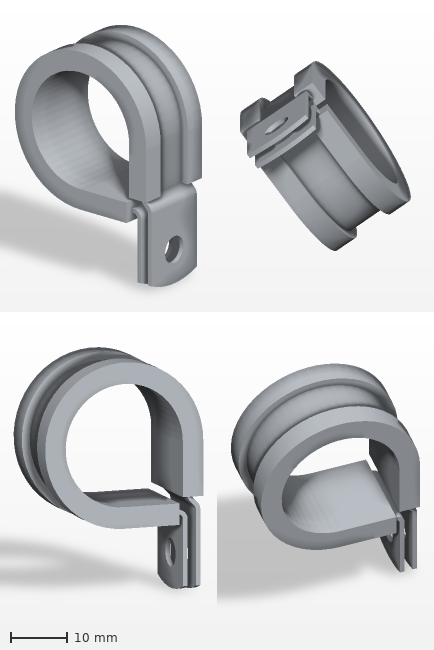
import cadquery as cq
import math


outer_radius = 15.0
cushion_thickness = 3.9
cushion_width = 15.75
upper_leg_length = 10.05
lower_leg_length = 10.5
groove_width = 7.6
groove_depth = 1.55

strap_thickness = 0.85
strap_width = 12.7
bend_inner_radius = 0.85
bend_outer_radius = bend_inner_radius + strap_thickness
tab_bottom = outer_radius - 42.7
inner_tab_face = 12.6
tab_end_sagitta = 1.32
hole_radius = 2.55
hole_height = 6.4
joggle_angle = 45.0

strap_radius = outer_radius - groove_depth


def loop_outline(radius):
    """Open path along a three-quarter loop and its two straight legs."""
    return (
        cq.Workplane("XZ")
        .moveTo(radius, -upper_leg_length)
        .lineTo(radius, 0)
        .threePointArc((-radius * math.sqrt(0.5), radius * math.sqrt(0.5)), (0, -radius))
        .lineTo(lower_leg_length, -radius)
    )


def loop_band(outside, inside, width):
    """Band between two concentric loop outlines, centred on Y."""
    diagonal = inside * math.sqrt(0.5)
    return (
        loop_outline(outside)
        .lineTo(lower_leg_length, -inside)
        .lineTo(0, -inside)
        .threePointArc((-diagonal, diagonal), (inside, 0))
        .lineTo(inside, -upper_leg_length)
        .close()
        .extrude(width / 2, both=True)
    )


def inner_tab():
    """Strap leaving the lower leg and bending 90 degrees downwards."""
    top = -strap_radius + strap_thickness
    bend_x = inner_tab_face - bend_outer_radius
    bend_z = top - bend_outer_radius
    diagonal = math.sqrt(0.5)
    return (
        cq.Workplane("XZ")
        .moveTo(lower_leg_length, top)
        .lineTo(bend_x, top)
        .threePointArc(
            (bend_x + bend_outer_radius * diagonal, bend_z + bend_outer_radius * diagonal),
            (inner_tab_face, bend_z),
        )
        .lineTo(inner_tab_face, tab_bottom)
        .lineTo(inner_tab_face - strap_thickness, tab_bottom)
        .lineTo(inner_tab_face - strap_thickness, bend_z)
        .threePointArc(
            (bend_x + bend_inner_radius * diagonal, bend_z + bend_inner_radius * diagonal),
            (bend_x, bend_z + bend_inner_radius),
        )
        .lineTo(lower_leg_length, top - strap_thickness)
        .close()
        .extrude(strap_width / 2, both=True)
    )


def outer_tab():
    """Strap leaving the upper leg, joggling out flush with the cushion."""
    angle = math.radians(joggle_angle)
    radius_sum = bend_inner_radius + bend_outer_radius
    slope_offset = groove_depth - radius_sum * (1 - math.cos(angle))
    joggle_height = radius_sum * math.sin(angle) + slope_offset / math.tan(angle)
    top = -upper_leg_length
    low = top - joggle_height
    upper_x = strap_radius + bend_inner_radius
    lower_x = outer_radius - bend_outer_radius

    def upper_point(radius, turn):
        return (upper_x - radius * math.cos(turn), top - radius * math.sin(turn))

    def lower_point(radius, turn):
        return (lower_x + radius * math.cos(turn), low + radius * math.sin(turn))

    return (
        cq.Workplane("XZ")
        .moveTo(*upper_point(bend_inner_radius, 0))
        .threePointArc(upper_point(bend_inner_radius, angle / 2), upper_point(bend_inner_radius, angle))
        .lineTo(*lower_point(bend_outer_radius, angle))
        .threePointArc(lower_point(bend_outer_radius, angle / 2), lower_point(bend_outer_radius, 0))
        .lineTo(outer_radius, tab_bottom)
        .lineTo(outer_radius - strap_thickness, tab_bottom)
        .lineTo(*lower_point(bend_inner_radius, 0))
        .threePointArc(lower_point(bend_inner_radius, angle / 2), lower_point(bend_inner_radius, angle))
        .lineTo(*upper_point(bend_outer_radius, angle))
        .threePointArc(upper_point(bend_outer_radius, angle / 2), upper_point(bend_outer_radius, 0))
        .close()
        .extrude(strap_width / 2, both=True)
    )


def tab_silhouette():
    """Prism along X that rounds the tab tips and leaves the bolt hole open."""
    half = strap_width / 2
    corner = tab_bottom + tab_end_sagitta
    prism = (
        cq.Workplane("YZ")
        .moveTo(-half, 0)
        .lineTo(-half, corner)
        .threePointArc((0, tab_bottom), (half, corner))
        .lineTo(half, 0)
        .close()
        .extrude(outer_radius)
    )
    hole = (
        cq.Workplane("YZ")
        .center(0, tab_bottom + hole_height)
        .circle(hole_radius)
        .extrude(outer_radius)
    )
    return prism.cut(hole)


cushion = loop_band(outer_radius, outer_radius - cushion_thickness, cushion_width)
groove = loop_band(outer_radius, strap_radius, groove_width)
tabs = inner_tab().union(outer_tab()).intersect(tab_silhouette())

result = cushion.cut(groove).union(tabs)